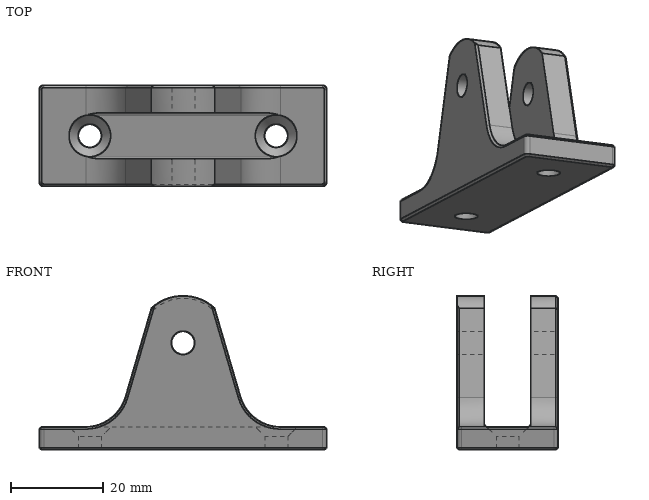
import cadquery as cq
import math

length = 62.5
width = 22.0
base_thickness = 5.0
corner_radius = 1.0
edge_chamfer = 0.5

height = 33.5
crown_radius = 10.0
crown_half_width = 6.9
flank_angle = math.radians(16.3)
root_radius = 9.0
crown_center_z = height - crown_radius
pivot_height = 23.25
hole_diameter = 5.0

slot_width = 10.0
slot_fillet = 0.5

mount_spacing = 40.5
countersink_diameter = 9.05
countersink_angle = 90.0

crown_end_z = crown_center_z + math.sqrt(crown_radius**2 - crown_half_width**2)
foot_x = crown_half_width + (crown_end_z - base_thickness) * math.tan(flank_angle)
root_center_x = foot_x + root_radius * math.tan(math.pi / 4 - flank_angle / 2)
root_center_z = base_thickness + root_radius


def root_point(angle):
    """Point on the +X root arc, angle measured below its horizontal radius."""
    x = root_center_x - root_radius * math.cos(angle)
    z = root_center_z - root_radius * math.sin(angle)
    return x, z


def mirrored(point):
    """Matching point on the -X side."""
    return -point[0], point[1]


def make_body():
    """Base and lug outline extruded across the full width."""
    flank_end = root_point(flank_angle)
    root_middle = root_point((flank_angle + math.pi / 2) / 2)
    root_end = root_point(math.pi / 2)
    crown_end = (crown_half_width, crown_end_z)
    return (
        cq.Workplane("XZ")
        .moveTo(-length / 2, 0)
        .lineTo(length / 2, 0)
        .lineTo(length / 2, base_thickness)
        .lineTo(*root_end)
        .threePointArc(root_middle, flank_end)
        .lineTo(*crown_end)
        .threePointArc((0, height), mirrored(crown_end))
        .lineTo(*mirrored(flank_end))
        .threePointArc(mirrored(root_middle), mirrored(root_end))
        .lineTo(-length / 2, base_thickness)
        .close()
        .extrude(width / 2, both=True)
    )


def make_slot_cutter():
    """Slot block with rounded lower edges, standing on the base top."""
    return (
        cq.Workplane("XY", origin=(0, 0, base_thickness))
        .rect(length, slot_width)
        .extrude(height)
        .edges("|X and <Z")
        .fillet(slot_fillet)
    )


def chamfer_outer_edges(body):
    """Chamfer the outer edges, leaving the upright corners and front crown plain.

    The chamfer runs on by tangency around the rounded plate corners.
    """
    back = body.faces(">Y").edges("not |Z")
    front = body.faces("<Y").edges("not |Z").edges("not(>Z)")
    bottom = body.faces("<Z").edges()
    ends = body.faces("<X or >X").edges("not |Z")
    return back.add(front).add(bottom).add(ends).chamfer(edge_chamfer)


body = make_body().edges("|Z").fillet(corner_radius)
body = chamfer_outer_edges(body)
body = body.cut(make_slot_cutter())

pivot = (
    cq.Workplane("XZ", origin=(0, 0, pivot_height))
    .circle(hole_diameter / 2)
    .extrude(width, both=True)
)
body = body.cut(pivot)

result = (
    body.copyWorkplane(cq.Workplane("XY", origin=(0, 0, base_thickness)))
    .pushPoints([(-mount_spacing / 2, 0), (mount_spacing / 2, 0)])
    .cskHole(hole_diameter, countersink_diameter, countersink_angle)
)